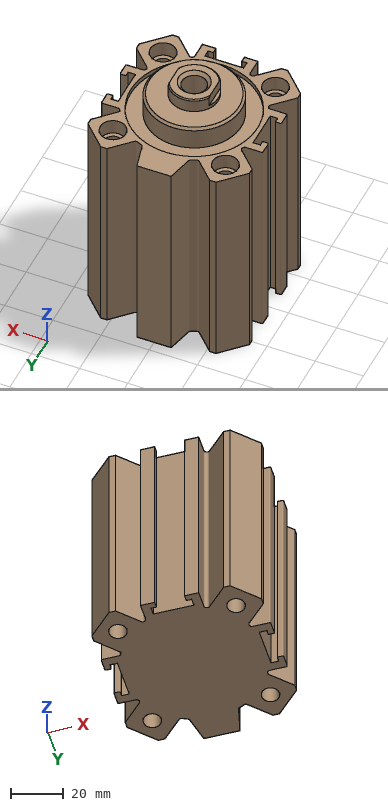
import cadquery as cq
import math

body_length = 90.0
half_width = 33.5

core_radius = 28.25
recess_diameter = 52.5
recess_depth = 2.0

ear_half_width = 8.6
ear_reach = 40.6
bolt_circle_diameter = 66.0
bolt_hole_diameter = 7.0
counterbore_diameter = 10.5
counterbore_depth = 6.5
root_radius = 1.0

channel_half_width = 11.5
slot_half_width = 8.0
slot_mouth_half_width = 5.9
slot_floor = 28.0
lip_thickness = 2.5
lip_edge_radius = 0.5

rib_top = 37.5
rib_top_half_width = 7.1
rib_taper = math.radians(13.6)

collar_diameter = 39.0
collar_height = 8.0
collar_chamfer = 1.0

rod_diameter = 20.0
rod_projection = 6.0
rod_socket_floor = 10.0
rod_tip_chamfer = 0.5
flat_distance = 17.0
flat_length = 4.5
thread_bore_diameter = 10.11
thread_bore_depth = 15.0
thread_mouth_diameter = 12.9

collar_top = body_length + collar_height
rod_top = collar_top + rod_projection
rod_length = rod_top - rod_socket_floor

channel_angles = [0, 180, 270]
ear_angles = [45, 135, 225, 315]


def turned(shape, angle):
    """Shape turned about the Z axis."""
    return shape.rotate((0, 0, 0), (0, 0, 1), angle)


def make_ear_bar():
    """Bar along X whose two ends form a pair of opposite ears."""
    return cq.Workplane("XY").rect(2 * ear_reach, 2 * ear_half_width).extrude(body_length)


def make_ears():
    """Four diagonal ears; the square envelope of the body cuts off their tips."""
    bar = make_ear_bar()
    ears = turned(bar, ear_angles[0]).union(turned(bar, ear_angles[1]))
    envelope = cq.Workplane("XY").rect(2 * half_width, 2 * half_width).extrude(body_length)
    return ears.intersect(envelope)


def make_channel_block():
    """Solid block on the +X side, before its T-slot is cut."""
    return (
        cq.Workplane("XY")
        .center(half_width / 2, 0)
        .rect(half_width, 2 * channel_half_width)
        .extrude(body_length)
    )


def make_slot():
    """T-slot cutter on the +X side."""
    lip_inner_face = half_width - lip_thickness
    wide_part = (
        cq.Workplane("XY")
        .center((slot_floor + lip_inner_face) / 2, 0)
        .rect(lip_inner_face - slot_floor, 2 * slot_half_width)
        .extrude(body_length)
    )
    mouth = (
        cq.Workplane("XY")
        .center((slot_floor + half_width) / 2, 0)
        .rect(half_width - slot_floor, 2 * slot_mouth_half_width)
        .extrude(body_length)
    )
    return wide_part.union(mouth)


def make_rib():
    """Tapered port rib on the +Y side."""
    foot = core_radius / 2
    foot_half_width = rib_top_half_width + (rib_top - foot) * math.tan(rib_taper)
    return (
        cq.Workplane("XY")
        .polyline([
            (-foot_half_width, foot),
            (foot_half_width, foot),
            (rib_top_half_width, rib_top),
            (-rib_top_half_width, rib_top),
        ])
        .close()
        .extrude(body_length)
    )


def make_profile():
    """Full-length extrusion: core, ears, channels and port rib."""
    profile = cq.Workplane("XY").circle(core_radius).extrude(body_length)
    profile = profile.union(make_ears()).union(make_rib())

    for angle in channel_angles:
        profile = profile.union(turned(make_channel_block(), angle))

    roots = cq.selectors.BoxSelector(
        (-core_radius, -core_radius, 0),
        (core_radius, core_radius, body_length),
    )
    profile = profile.edges("|Z").edges(roots).fillet(root_radius)

    for angle in channel_angles:
        profile = profile.cut(turned(make_slot(), angle))
    return round_side_lips(profile)


def round_side_lips(profile):
    """Round the lip edges of the -X and +X channels."""
    lip_zone = half_width - lip_thickness / 2
    for side in (1, -1):
        near, far = sorted((side * lip_zone, side * (half_width + 1)))
        outer_edges = cq.selectors.BoxSelector(
            (near, -channel_half_width - 1, -1),
            (far, channel_half_width + 1, body_length + 1),
        )
        profile = profile.edges("|Z").edges(outer_edges).fillet(lip_edge_radius)

        near, far = sorted((side * (slot_floor + 1), side * lip_zone))
        inner_edges = cq.selectors.BoxSelector(
            (near, -slot_mouth_half_width - 1, -1),
            (far, slot_mouth_half_width + 1, body_length + 1),
        )
        profile = profile.edges("|Z").edges(inner_edges).fillet(lip_edge_radius)
    return profile


def bolt_cylinders(diameter, depth):
    """One cylinder in each ear, going down from the front face."""
    return (
        cq.Workplane("XY")
        .workplane(offset=body_length)
        .polarArray(bolt_circle_diameter / 2, ear_angles[0], 360, len(ear_angles))
        .circle(diameter / 2)
        .extrude(-depth)
    )


def make_housing():
    """Profiled body with its recessed front face, collar, rod socket and bolt holes."""
    housing = make_profile()

    recess = (
        cq.Workplane("XY")
        .workplane(offset=body_length - recess_depth)
        .circle(recess_diameter / 2)
        .extrude(recess_depth)
    )
    collar = (
        cq.Workplane("XY")
        .workplane(offset=body_length - recess_depth)
        .circle(collar_diameter / 2)
        .extrude(recess_depth + collar_height)
        .faces(">Z")
        .chamfer(collar_chamfer)
    )
    rod_socket = (
        cq.Workplane("XY")
        .workplane(offset=rod_socket_floor)
        .circle(rod_diameter / 2)
        .extrude(collar_top - rod_socket_floor)
    )
    housing = housing.cut(recess).union(collar).cut(rod_socket)

    return (
        housing.cut(bolt_cylinders(bolt_hole_diameter, body_length))
        .cut(bolt_cylinders(counterbore_diameter, counterbore_depth))
    )


def make_rod():
    """Piston rod with two wrench flats and a blind thread bore."""
    rod = (
        cq.Workplane("XY")
        .workplane(offset=rod_socket_floor)
        .circle(rod_diameter / 2)
        .extrude(rod_length)
        .faces(">Z")
        .chamfer(rod_tip_chamfer)
    )

    flat_depth = (rod_diameter - flat_distance) / 2
    for side in (1, -1):
        flat = cq.Workplane("XY").box(flat_depth, rod_diameter, flat_length)
        flat_x = side * (flat_distance + flat_depth) / 2
        rod = rod.cut(flat.translate((flat_x, 0, rod_top - flat_length / 2)))

    bore_radius = thread_bore_diameter / 2
    mouth_radius = thread_mouth_diameter / 2
    bore = (
        cq.Workplane("XZ")
        .polyline([
            (0, rod_top),
            (mouth_radius, rod_top),
            (bore_radius, rod_top - (mouth_radius - bore_radius)),
            (bore_radius, rod_top - thread_bore_depth),
            (0, rod_top - thread_bore_depth),
        ])
        .close()
        .revolve(360, (0, 0, 0), (0, 1, 0))
    )
    return rod.cut(bore)


housing = make_housing()
rod = make_rod()

result = cq.Compound.makeCompound([housing.val(), rod.val()])